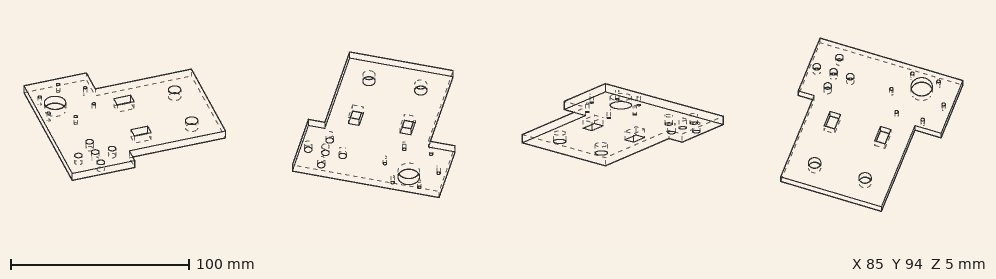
import cadquery as cq

base_width = 85.0
base_height = 37.0
total_height = 94.0
thickness = 5.0
panel_width = 60.0
panel_left_inset = 15.5

panel_hole_diameter = 7.0
panel_hole_top_inset = 15.0
column_spacing = panel_width / 2
slot_width = 6.2
slot_height = 10.0
slot_top_inset = 45.0

motor_left_inset = 20.5
screw_ring_radius = 15.5
screw_count = 6
screw_hole_diameter = 2.0
shaft_hole_diameter = 12.0
shaft_offset = 7.0

cross_pitch = 10.0
cross_hole_diameter = 4.2

left = -base_width / 2
bottom = -total_height / 2
top = total_height / 2
base_middle_y = bottom + base_height / 2
panel_left = left + panel_left_inset
panel_middle_x = panel_left + panel_width / 2
column_xs = [panel_middle_x + side * column_spacing / 2 for side in (-1, 1)]
motor_x = left + motor_left_inset
cross_x = column_xs[1] + cross_pitch


def make_plate():
    base = cq.Workplane("XY").box(base_width, base_height, thickness)
    base = base.translate((0, base_middle_y, 0))
    panel = cq.Workplane("XY").box(panel_width, total_height, thickness)
    return base.union(panel.translate((panel_middle_x, 0, 0)))


def bottom_plane():
    return cq.Workplane("XY", origin=(0, 0, -thickness / 2))


def cut_round_holes(body, points, diameter):
    cutters = bottom_plane().pushPoints(points).circle(diameter / 2)
    return body.cut(cutters.extrude(thickness))


def cut_panel_openings(body):
    hole_points = [(x, top - panel_hole_top_inset) for x in column_xs]
    body = cut_round_holes(body, hole_points, panel_hole_diameter)
    slot_points = [(x, top - slot_top_inset) for x in column_xs]
    slots = bottom_plane().pushPoints(slot_points).rect(slot_width, slot_height)
    return body.cut(slots.extrude(thickness))


def cut_motor_mount(body):
    screws = (
        bottom_plane()
        .center(motor_x, base_middle_y)
        .polarArray(screw_ring_radius, 0, 360, screw_count)
        .circle(screw_hole_diameter / 2)
        .extrude(thickness)
    )
    shaft_point = (motor_x, base_middle_y - shaft_offset)
    return cut_round_holes(body.cut(screws), [shaft_point], shaft_hole_diameter)


def cut_cross_holes(body):
    steps = [(0, 0), (1, 0), (-1, 0), (0, 1), (0, -1)]
    points = [(cross_x + i * cross_pitch, base_middle_y + j * cross_pitch) for i, j in steps]
    return cut_round_holes(body, points, cross_hole_diameter)


result = make_plate()
result = cut_panel_openings(result)
result = cut_motor_mount(result)
result = cut_cross_holes(result)